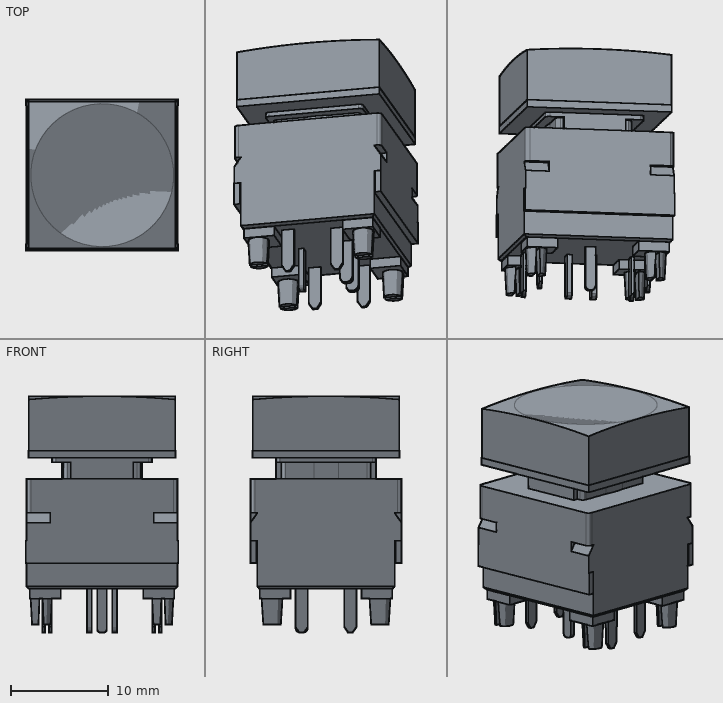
import cadquery as cq

FOOT_BOTTOM_Z = 3.48
BODY_BOTTOM_Z = 4.48
SKIRT_BOTTOM_Z = 7.11
END_PAD_TOP_Z = 9.41
CATCH_BOTTOM_Z = 11.23
CATCH_TOP_Z = 12.25
BODY_TOP_Z = 15.73
FLANGE_BOTTOM_Z = 17.42
CAP_BOTTOM_Z = 17.88
CAP_RIM_Z = 18.63
TOP_Z = 24.2

BODY_SIDE = 15.5
BODY_CORNER_RADIUS = 0.44
BASE_CHAMFER = 0.27
SKIRT_SIDE_STEP = 0.7
END_PAD_HEIGHT = 0.06
END_PAD_BEVEL = 0.1
CATCH_LENGTH = 2.47
CATCH_DEPTH = 0.73

FLANGE_SIDE = 10.25
FLANGE_CORNER_RADIUS = 0.4
NECK_LENGTH_X = 8.2
NECK_BULGE_WIDTH = 2.47
NECK_BULGE_HEIGHT = 0.12
NECK_WIDTH_Y = 9.2
NECK_CORNER_RADIUS = 0.44
NECK_TAB_WIDTH = 6.41

CAP_SIDE = 15.05
CAP_RIM_MARGIN = 0.02
DISH_RADIUS = 7.3
DISH_DEPTH = 0.48
CROWN_SPHERE_RADIUS = 83.5

FOOT_SIDE = 3.2
FOOT_CENTRE_X = 5.8
FOOT_CENTRE_Y = 5.2
PEG_CENTRE_X = 6.22
PEG_CENTRE_Y = 5.52
PEG_BOTTOM_Z = 0.82
PEG_TOP_DIAMETER = 2.18
PEG_TIP_DIAMETER = 1.89
PEG_SLIT_TOP = 0.35
PEG_SLIT_TIP = 0.53

PIN_ROW_Y = 2.5
PIN_WIDTH = 1.28
SIDE_PIN_THICKNESS = 0.31
SIDE_PIN_OUTER_X = 5.98
SIDE_PIN_INNER_X = 5.28
SIDE_PIN_TIP_WIDTH = 0.45
SIDE_PIN_TIP_HEIGHT = 0.6
INNER_PIN_X = 1.28
INNER_PIN_THICKNESS = 0.5
INNER_PIN_TIP_RADIUS = 0.53
CENTRE_PIN_WIDTH = 1.02
CENTRE_PIN_THICKNESS = 0.5
CENTRE_PIN_TIP_DIAMETER = 0.8


def block(size_x, size_y, bottom, top, centre_x=0.0, centre_y=0.0):
    """Upright box between two heights."""
    box = cq.Workplane("XY").box(size_x, size_y, top - bottom, centered=(True, True, False))
    return box.translate((centre_x, centre_y, bottom))


def at_corners(solid):
    """The solid and its mirror images in the other three quadrants."""
    pair = solid.union(solid.mirror("YZ"))
    return pair.union(pair.mirror("XZ"))


def catch_notch():
    """Wedge notch at the end of a side wall, with a flat top and a sloping floor."""
    wall_y = BODY_SIDE / 2
    wedge = [
        (wall_y, CATCH_BOTTOM_Z),
        (wall_y, CATCH_TOP_Z),
        (wall_y - CATCH_DEPTH, CATCH_TOP_Z),
    ]
    notch = cq.Workplane("YZ").polyline(wedge).close().extrude(CATCH_LENGTH)
    return notch.translate((BODY_SIDE / 2 - CATCH_LENGTH, 0, 0))


def end_pad():
    """Thin raised pad at the end of a skirt, bevelled along its inner edge."""
    wall = BODY_SIDE / 2
    inner_y = wall - SKIRT_SIDE_STEP
    outline = [
        (wall, wall),
        (wall + END_PAD_HEIGHT, wall),
        (wall + END_PAD_HEIGHT, inner_y + END_PAD_BEVEL),
        (wall, inner_y),
    ]
    pad = cq.Workplane("XY", origin=(0, 0, SKIRT_BOTTOM_Z)).polyline(outline).close()
    return pad.extrude(END_PAD_TOP_Z - SKIRT_BOTTOM_Z)


def make_body():
    base_width = BODY_SIDE - 2 * SKIRT_SIDE_STEP
    base = block(BODY_SIDE, base_width, BODY_BOTTOM_Z, SKIRT_BOTTOM_Z)
    base = base.faces("<Z").chamfer(BASE_CHAMFER)
    middle = block(BODY_SIDE, BODY_SIDE, SKIRT_BOTTOM_Z, CATCH_TOP_Z)
    upper = block(BODY_SIDE, BODY_SIDE, CATCH_TOP_Z, BODY_TOP_Z)
    upper = upper.edges("|Z").fillet(BODY_CORNER_RADIUS)
    body = base.union(middle).union(upper)
    return body.cut(at_corners(catch_notch())).union(at_corners(end_pad()))


def make_neck():
    flat_length = NECK_LENGTH_X - 2 * NECK_BULGE_HEIGHT
    neck = block(flat_length, NECK_WIDTH_Y, BODY_TOP_Z, FLANGE_BOTTOM_Z)
    neck = neck.edges("|Z").fillet(NECK_CORNER_RADIUS)
    end_x = flat_length / 2
    half_bulge = NECK_BULGE_WIDTH / 2
    bulges = (
        cq.Workplane("XY", origin=(0, 0, BODY_TOP_Z))
        .moveTo(-end_x, -half_bulge)
        .lineTo(end_x, -half_bulge)
        .threePointArc((NECK_LENGTH_X / 2, 0), (end_x, half_bulge))
        .lineTo(-end_x, half_bulge)
        .threePointArc((-NECK_LENGTH_X / 2, 0), (-end_x, -half_bulge))
        .close()
        .extrude(FLANGE_BOTTOM_Z - BODY_TOP_Z)
    )
    tabs = block(NECK_TAB_WIDTH, FLANGE_SIDE, BODY_TOP_Z, FLANGE_BOTTOM_Z)
    flange = block(FLANGE_SIDE, FLANGE_SIDE, FLANGE_BOTTOM_Z, CAP_BOTTOM_Z)
    flange = flange.edges("|Z").fillet(FLANGE_CORNER_RADIUS)
    return neck.union(bulges).union(tabs).union(flange)


def make_cap():
    """Square cap whose crown is convex outside a round rim and concave inside it."""
    crown_centre_z = TOP_Z - (CROWN_SPHERE_RADIUS**2 - DISH_RADIUS**2) ** 0.5
    crown = cq.Workplane("XY").sphere(CROWN_SPHERE_RADIUS).translate((0, 0, crown_centre_z))
    dish_sphere_radius = (DISH_RADIUS**2 + DISH_DEPTH**2) / (2 * DISH_DEPTH)
    dish_centre_z = TOP_Z - DISH_DEPTH + dish_sphere_radius
    dish = cq.Workplane("XY").sphere(dish_sphere_radius).translate((0, 0, dish_centre_z))
    upper_side = CAP_SIDE - 2 * CAP_RIM_MARGIN
    crown_apex_z = crown_centre_z + CROWN_SPHERE_RADIUS
    upper = block(upper_side, upper_side, CAP_RIM_Z, crown_apex_z).intersect(crown).cut(dish)
    return block(CAP_SIDE, CAP_SIDE, CAP_BOTTOM_Z, CAP_RIM_Z).union(upper)


def make_peg():
    """Tapered round peg split across X by a slit that widens towards the tip."""
    length = FOOT_BOTTOM_Z - PEG_BOTTOM_Z
    peg = (
        cq.Workplane("XY", origin=(0, 0, PEG_BOTTOM_Z))
        .circle(PEG_TIP_DIAMETER / 2)
        .workplane(offset=length)
        .circle(PEG_TOP_DIAMETER / 2)
        .loft(ruled=True)
    )
    slit_outline = [
        (-PEG_SLIT_TIP / 2, PEG_BOTTOM_Z),
        (PEG_SLIT_TIP / 2, PEG_BOTTOM_Z),
        (PEG_SLIT_TOP / 2, FOOT_BOTTOM_Z),
        (-PEG_SLIT_TOP / 2, FOOT_BOTTOM_Z),
    ]
    slit = cq.Workplane("XZ").polyline(slit_outline).close().extrude(PEG_TOP_DIAMETER, both=True)
    return peg.cut(slit).translate((PEG_CENTRE_X, PEG_CENTRE_Y, 0))


def make_foot():
    foot = block(
        FOOT_SIDE, FOOT_SIDE, FOOT_BOTTOM_Z, BODY_BOTTOM_Z, FOOT_CENTRE_X, FOOT_CENTRE_Y
    )
    return foot.union(make_peg())


def side_pin(x, y):
    """Flat pin facing X with a straight-sided tip."""
    half = PIN_WIDTH / 2
    half_tip = SIDE_PIN_TIP_WIDTH / 2
    outline = [
        (-half_tip, 0),
        (half_tip, 0),
        (half, SIDE_PIN_TIP_HEIGHT),
        (half, BODY_BOTTOM_Z),
        (-half, BODY_BOTTOM_Z),
        (-half, SIDE_PIN_TIP_HEIGHT),
    ]
    pin = cq.Workplane("YZ").polyline(outline).close().extrude(SIDE_PIN_THICKNESS / 2, both=True)
    return pin.translate((x, y, 0))


def inner_pin(x):
    """Flat pin facing X with a rounded tip."""
    pin = block(INNER_PIN_THICKNESS, PIN_WIDTH, 0, BODY_BOTTOM_Z, x, -PIN_ROW_Y)
    return pin.faces("<Z").edges("|X").fillet(INNER_PIN_TIP_RADIUS)


def centre_pin():
    """Flat pin facing Y with a rounded tip."""
    pin = block(CENTRE_PIN_WIDTH, CENTRE_PIN_THICKNESS, 0, BODY_BOTTOM_Z, 0, PIN_ROW_Y)
    return pin.faces("<Z").edges("|Y").fillet(CENTRE_PIN_TIP_DIAMETER / 2)


result = make_body().union(make_neck()).union(make_cap()).union(at_corners(make_foot()))
for side in (-1, 1):
    result = result.union(side_pin(side * SIDE_PIN_OUTER_X, -side * PIN_ROW_Y))
    result = result.union(side_pin(side * SIDE_PIN_INNER_X, side * PIN_ROW_Y))
    result = result.union(inner_pin(side * INNER_PIN_X))
result = result.union(centre_pin())